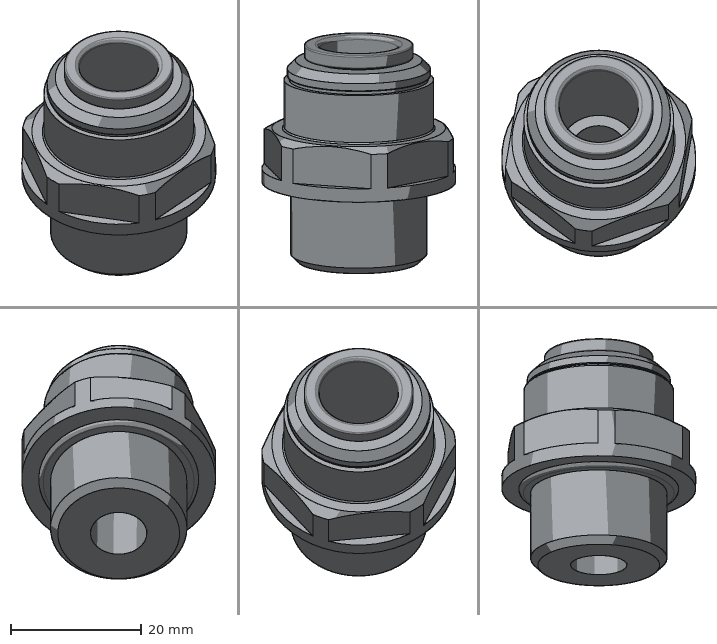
import cadquery as cq
import math

total_height = 34.0
seal_bottom = 11.73
flange_bottom = 12.45
hex_bottom = 14.55
hex_top = 20.85
groove_bottom = 28.45
ring_bottom = 28.97
ring_top = 31.5
collar_bottom = 31.93

spigot_diameter = 20.95
seal_diameter = 24.55
flange_diameter = 29.8
body_diameter = 23.0
groove_diameter = 21.4
ring_diameter = 22.0
neck_diameter = 13.7
collar_diameter = 16.7

across_flats = 27.0
hex_chamfer_diameter = 26.65
hex_chamfer_angle = 30.0

socket_diameter = 12.15
through_diameter = 8.65
socket_bottom = 17.0

spigot_chamfer = 1.12
seal_radius = 0.68
body_foot = 0.25
ring_chamfer = 1.25
ring_lower_chamfer = 0.15
collar_radius = 0.2
mouth_radius = 0.6


def cylinder(diameter, bottom, top):
    """Cylinder on the Z axis between two heights."""
    return cq.Workplane("XY").workplane(offset=bottom).circle(diameter / 2).extrude(top - bottom)


def make_hexagon():
    """Hexagon with corners on the Y axis, turned to the flange diameter and chamfered on top."""
    corner_diameter = across_flats / math.cos(math.radians(30))
    prism = (
        cq.Workplane("XY").workplane(offset=hex_bottom)
        .polygon(6, corner_diameter)
        .extrude(hex_top - hex_bottom)
        .rotate((0, 0, 0), (0, 0, 1), 30)
    )
    outer_radius = flange_diameter / 2
    top_radius = hex_chamfer_diameter / 2
    chamfer_height = (outer_radius - top_radius) * math.tan(math.radians(hex_chamfer_angle))
    envelope = (
        cq.Workplane("XZ")
        .moveTo(0, hex_bottom)
        .lineTo(outer_radius, hex_bottom)
        .lineTo(outer_radius, hex_top - chamfer_height)
        .lineTo(top_radius, hex_top)
        .lineTo(0, hex_top)
        .close()
        .revolve(360, (0, 0, 0), (0, 1, 0))
    )
    return prism.intersect(envelope)


def make_body():
    """Plain cylinder above the hexagon with a small flared foot."""
    body_radius = body_diameter / 2
    foot = cq.Workplane("XY").add(
        cq.Solid.makeCone(body_radius + body_foot, body_radius, body_foot, cq.Vector(0, 0, hex_top))
    )
    return cylinder(body_diameter, hex_top, groove_bottom).union(foot)


def make_ring():
    """Retaining ring with a wide bevel on top and a broken lower edge."""
    ring = cylinder(ring_diameter, ring_bottom, ring_top)
    return ring.faces(">Z").chamfer(ring_chamfer).faces("<Z").chamfer(ring_lower_chamfer)


def make_bore():
    """Stepped bore that opens at the top and passes right through."""
    through = cylinder(through_diameter, 0, total_height)
    socket = cylinder(socket_diameter, socket_bottom, total_height)
    return through.union(socket)


spigot = cylinder(spigot_diameter, 0, flange_bottom).faces("<Z").chamfer(spigot_chamfer)
seal = cylinder(seal_diameter, seal_bottom, flange_bottom).faces("<Z").edges().fillet(seal_radius)
flange = cylinder(flange_diameter, flange_bottom, hex_bottom)
groove = cylinder(groove_diameter, groove_bottom, ring_bottom)
neck = cylinder(neck_diameter, ring_top, collar_bottom)
collar = cylinder(collar_diameter, collar_bottom, total_height).edges("%CIRCLE").fillet(collar_radius)

result = spigot
for section in (seal, flange, make_hexagon(), make_body(), groove, make_ring(), neck, collar):
    result = result.union(section)

result = result.cut(make_bore())
mouth_edge = result.faces(">Z").edges(cq.selectors.RadiusNthSelector(0))
result = mouth_edge.fillet(mouth_radius)